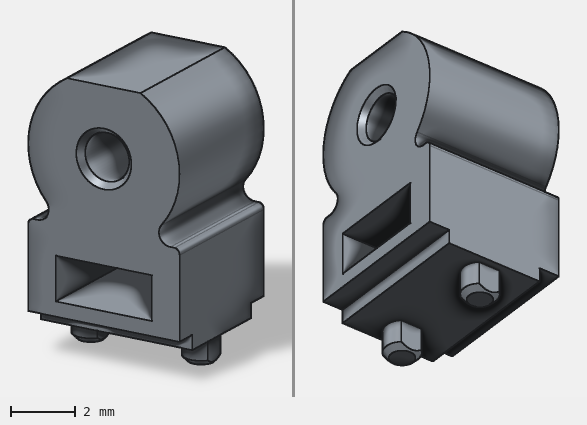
import cadquery as cq
import math

width = 5.5
depth = 5.0
total_height = 9.4
pin_length = 1.0
body_height = total_height - pin_length

eye_radius = width / 2
eye_height = 6.0
hole_diameter = 1.6
countersink_diameter = 2.0
shoulder_height = 3.55
shoulder_radius = 0.2
neck_radius = 0.4

window_width = 3.5
window_height = 1.5
window_floor = 1.0
tenon_depth = 3.5
tenon_height = 0.5

pin_spacing = 4.0
pin_diameter = 1.22
pin_flat_width = 0.95
pin_chamfer = 0.2


def extrude_through(sketch):
    """Extrude an XZ sketch over the full depth, centred on Y = 0."""
    return sketch.extrude(depth / 2, both=True)


def make_body():
    """Base block and flat-topped eye, joined by concave necks."""
    half_width = width / 2
    flat_half_width = math.sqrt(eye_radius**2 - (body_height - eye_height) ** 2)

    neck_z = shoulder_height + neck_radius
    center_distance = eye_radius + neck_radius
    neck_x = math.sqrt(center_distance**2 - (eye_height - neck_z) ** 2)
    tangent_x = neck_x * eye_radius / center_distance
    tangent_z = eye_height + (neck_z - eye_height) * eye_radius / center_distance

    neck_top_angle = math.atan2(eye_height - neck_z, -neck_x)
    neck_mid_angle = (neck_top_angle + 1.5 * math.pi) / 2
    neck_mid_x = neck_x + neck_radius * math.cos(neck_mid_angle)
    neck_mid_z = neck_z + neck_radius * math.sin(neck_mid_angle)
    shoulder_inset = shoulder_radius * (1 - math.sqrt(0.5))

    half_outline = (
        cq.Workplane("XZ")
        .lineTo(half_width, 0)
        .lineTo(half_width, shoulder_height - shoulder_radius)
        .threePointArc(
            (half_width - shoulder_inset, shoulder_height - shoulder_inset),
            (half_width - shoulder_radius, shoulder_height),
        )
        .lineTo(neck_x, shoulder_height)
        .threePointArc((neck_mid_x, neck_mid_z), (tangent_x, tangent_z))
        .threePointArc((eye_radius, eye_height), (flat_half_width, body_height))
        .lineTo(0, body_height)
        .mirrorY()
    )
    return extrude_through(half_outline)


def make_window():
    center_z = window_floor + window_height / 2
    return extrude_through(cq.Workplane("XZ").center(0, center_z).rect(window_width, window_height))


def make_hole():
    """Through hole with a 45 degree countersink at both ends."""
    hole_radius = hole_diameter / 2
    rim_radius = countersink_diameter / 2
    countersink_depth = rim_radius - hole_radius
    return (
        cq.Workplane("XY")
        .moveTo(0, -depth / 2)
        .lineTo(rim_radius, -depth / 2)
        .lineTo(hole_radius, -depth / 2 + countersink_depth)
        .lineTo(hole_radius, depth / 2 - countersink_depth)
        .lineTo(rim_radius, depth / 2)
        .lineTo(0, depth / 2)
        .close()
        .revolve(360, (0, 0, 0), (0, 1, 0))
        .translate((0, 0, eye_height))
    )


def make_step(side):
    """Material removed beside the tenon; side is -1 or 1 along Y."""
    step_depth = (depth - tenon_depth) / 2
    center_y = side * (tenon_depth + step_depth) / 2
    return cq.Workplane("XY").center(0, center_y).rect(width, step_depth).extrude(tenon_height)


def make_pin(side):
    """Chamfered pin under the tenon; side is -1 or 1 along X."""
    round_pin = cq.Workplane("XY").circle(pin_diameter / 2).extrude(-pin_length)
    round_pin = round_pin.faces("<Z").chamfer(pin_chamfer)
    between_flats = cq.Workplane("XY").rect(pin_flat_width, pin_diameter).extrude(-pin_length)
    return round_pin.intersect(between_flats).translate((side * pin_spacing / 2, 0, 0))


result = make_body().cut(make_window()).cut(make_hole())
for side in (-1, 1):
    result = result.cut(make_step(side)).union(make_pin(side))